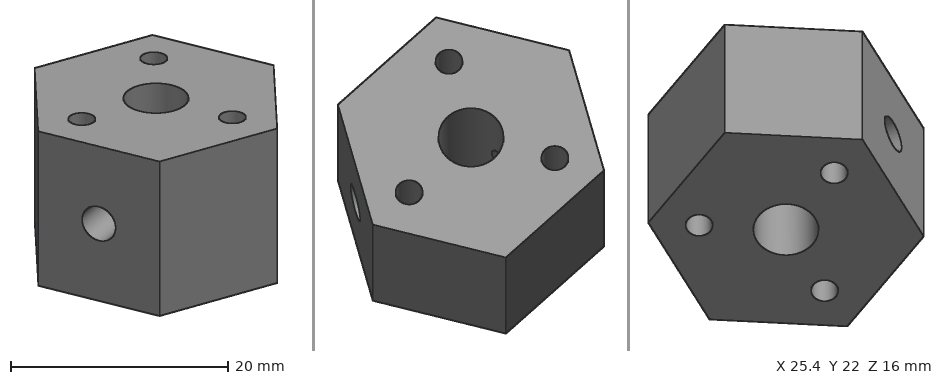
import cadquery as cq

across_corners = 25.4
height = 16.0

bore_diameter = 6.0
pin_hole_diameter = 2.5
pin_circle_radius = 8.0
pin_hole_count = 3
cross_hole_diameter = 3.5

block = cq.Workplane("XY").polygon(6, across_corners).extrude(height)

bore = cq.Workplane("XY").circle(bore_diameter / 2).extrude(height)

pin_holes = (
    cq.Workplane("XY")
    .polarArray(pin_circle_radius, 0, 360, pin_hole_count)
    .circle(pin_hole_diameter / 2)
    .extrude(height)
)

cross_hole = (
    cq.Workplane("XZ", origin=(0, 0, height / 2))
    .circle(cross_hole_diameter / 2)
    .extrude(across_corners, both=True)
)

result = block.cut(bore).cut(pin_holes).cut(cross_hole)